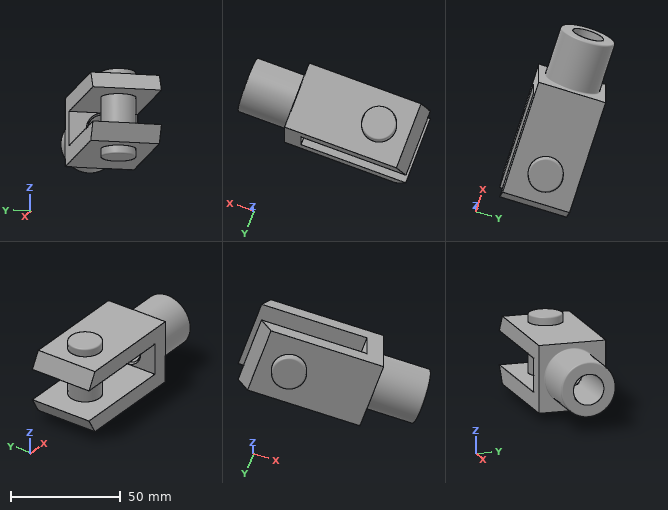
import cadquery as cq
import math

total_length = 83.0
body_width = 32.0
body_length = 59.0
fork_gap = body_width / 2
slot_depth = 51.0
tip_angle = 30.0

shank_diameter = 26.0
shank_edge_radius = 0.75
shank_root_radius = 0.5

bore_diameter = 14.5
bore_chamfer = 0.75

pin_diameter = 16.0
pin_length = 40.0
pin_from_tip = 19.0
pin_edge_radius = 0.75

arm_thickness = (body_width - fork_gap) / 2
tip_setback = arm_thickness * math.tan(math.radians(tip_angle))


def make_fork():
    """U-shaped fork with the arm tips sloping back towards the outer faces."""
    half_height = body_width / 2
    half_gap = fork_gap / 2
    outline = [
        (tip_setback, half_height),
        (body_length, half_height),
        (body_length, -half_height),
        (tip_setback, -half_height),
        (0, -half_gap),
        (slot_depth, -half_gap),
        (slot_depth, half_gap),
        (0, half_gap),
    ]
    return cq.Workplane("XZ").polyline(outline).close().extrude(body_width / 2, both=True)


def make_shank():
    """Round shank behind the fork, with a rounded end edge and a filleted root."""
    shank_radius = shank_diameter / 2
    root_radius = shank_radius + shank_root_radius
    root_end = body_length + shank_root_radius
    round_start = total_length - shank_edge_radius
    end_radius = shank_radius - shank_edge_radius
    profile = (
        cq.Workplane("XY")
        .moveTo(body_length, 0)
        .lineTo(body_length, root_radius)
        .radiusArc((root_end, shank_radius), -shank_root_radius)
        .lineTo(round_start, shank_radius)
        .radiusArc((total_length, end_radius), shank_edge_radius)
        .lineTo(total_length, 0)
        .close()
    )
    return profile.revolve(360, (0, 0, 0), (1, 0, 0))


def make_bore():
    """Axial bore from the slot floor out through the shank, chamfered at the slot."""
    bore_radius = bore_diameter / 2
    profile = (
        cq.Workplane("XY")
        .moveTo(slot_depth, 0)
        .lineTo(slot_depth, bore_radius + bore_chamfer)
        .lineTo(slot_depth + bore_chamfer, bore_radius)
        .lineTo(total_length, bore_radius)
        .lineTo(total_length, 0)
        .close()
    )
    return profile.revolve(360, (0, 0, 0), (1, 0, 0))


def make_pin():
    """Clevis pin through both arms, with rounded end edges."""
    return (
        cq.Workplane("XY", origin=(pin_from_tip, 0, -pin_length / 2))
        .circle(pin_diameter / 2)
        .extrude(pin_length)
        .faces("<Z or >Z")
        .edges()
        .fillet(pin_edge_radius)
    )


result = make_fork().union(make_shank()).cut(make_bore()).union(make_pin())